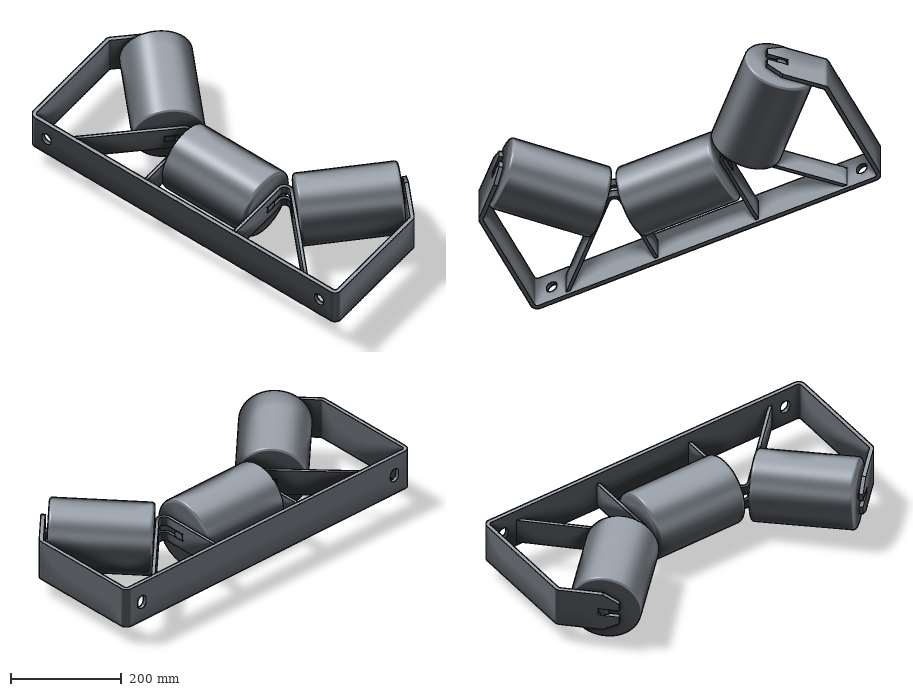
import cadquery as cq
import math


frame_length = 700.0
frame_height = 80.5
frame_thickness = 8.0
frame_bend_radius = 13.0
wing_corner_y = 231.0
wing_length = 115.0
wing_chamfer_along = 30.0
wing_chamfer_across = 17.5
mount_hole_width = 20.0
mount_hole_height = 26.5
mount_hole_inset = 39.0

roller_diameter = 133.0
roller_length = 191.0
roller_edge_fillet = 6.0
shaft_diameter = 20.0
shaft_flat_height = 14.0
shaft_stub_length = 9.0
centre_roller_y = 125.0
trough_angle = 45.0
side_roller_tilt = 2.0
side_roller_x = 213.0
side_roller_y = 215.5
end_gap = 3.0

bracket_height = 50.5
bracket_thickness = 6.0
bracket_bend_radius = 16.0
bracket_face_x = 98.0

slot_width = 15.0
slot_end_clearance = 0.35

half_length = frame_length / 2
half_roller = roller_length / 2
trough = math.radians(trough_angle)
slot_end_offset = shaft_diameter / 2 + slot_end_clearance

support_span = roller_length + 2 * end_gap + (frame_thickness + bracket_thickness) / 2
bracket_level = -support_span * math.sin(math.radians(side_roller_tilt))
side_roller_z = bracket_level / 2


def along_left_axis(distance):
    """Point (x, y) on the left roller axis, measured outwards from the roller centre."""
    return (-side_roller_x - distance * math.cos(trough), side_roller_y + distance * math.sin(trough))


def mirrored_copy(body):
    return body.mirror("YZ")


def make_frame():
    """Strap bent into a base, two side walls and two inward wings with slotted tips."""
    wing_x = -half_length + wing_length * math.sin(trough)
    wing_y = wing_corner_y + wing_length * math.cos(trough)
    inner_x = -half_length + frame_thickness
    inner_corner_y = wing_corner_y - frame_thickness * math.tan(trough / 2)
    tip_inner_x = wing_x + frame_thickness * math.cos(trough)
    tip_inner_y = wing_y - frame_thickness * math.sin(trough)

    left_outer = [(-half_length, 0), (-half_length, wing_corner_y), (wing_x, wing_y)]
    left_inner = [(tip_inner_x, tip_inner_y), (inner_x, inner_corner_y), (inner_x, frame_thickness)]
    left_side = left_outer + left_inner
    right_side = [(-x, y) for x, y in reversed(left_side)]
    frame = (
        cq.Workplane("XY")
        .polyline(left_side + right_side)
        .close()
        .extrude(frame_height / 2, both=True)
    )

    inner_bend_radius = frame_bend_radius - frame_thickness
    outer_corners = [(-half_length, 0), (-half_length, wing_corner_y)]
    inner_corners = [(inner_x, frame_thickness), (inner_x, inner_corner_y)]
    for corners, radius in ((outer_corners, frame_bend_radius), (inner_corners, inner_bend_radius)):
        for x, y in corners:
            for side in (1, -1):
                frame = frame.edges(cq.selectors.NearestToPointSelector((side * x, y, 0))).fillet(radius)

    holes = (
        cq.Workplane("XZ")
        .pushPoints([(-half_length + mount_hole_inset, 0), (half_length - mount_hole_inset, 0)])
        .slot2D(mount_hole_height, mount_hole_width, 90)
        .extrude(-frame_thickness)
    )
    frame = frame.cut(holes)

    tip_plane = cq.Plane(
        origin=(wing_x, wing_y, 0),
        xDir=(math.sin(trough), math.cos(trough), 0),
        normal=(math.cos(trough), -math.sin(trough), 0),
    )
    axis_x, axis_y = along_left_axis(half_roller + end_gap)
    tip_to_axis = (wing_x - axis_x) * math.sin(trough) + (wing_y - axis_y) * math.cos(trough)
    slot_depth = tip_to_axis + slot_end_offset
    tip_cut = (
        cq.Workplane(tip_plane)
        .center(-slot_depth / 2, 0)
        .rect(slot_depth, slot_width)
        .extrude(frame_thickness)
    )
    edge = frame_height / 2
    for side in (1, -1):
        corner = (
            cq.Workplane(tip_plane)
            .polyline([
                (0, side * edge),
                (-wing_chamfer_along, side * edge),
                (0, side * (edge - wing_chamfer_across)),
            ])
            .close()
            .extrude(frame_thickness)
        )
        tip_cut = tip_cut.union(corner)
    return frame.cut(tip_cut).cut(mirrored_copy(tip_cut))


def make_left_bracket():
    """Folded strip standing on the base, slotted across the fold for two shaft ends."""
    leg_x, leg_y = along_left_axis(-half_roller - end_gap)
    slope = 1 / math.tan(trough)
    base_y = frame_thickness
    face_x = -bracket_face_x
    back_x = face_x - bracket_thickness
    lower_leg_x = leg_x + bracket_thickness * math.cos(trough)
    lower_leg_y = leg_y - bracket_thickness * math.sin(trough)

    def upper_face_y(x):
        return leg_y + (x - leg_x) * slope

    def lower_face_y(x):
        return lower_leg_y + (x - lower_leg_x) * slope

    outer_corner = (face_x, upper_face_y(face_x))
    inner_corner = (back_x, lower_face_y(back_x))
    outline = [
        (face_x, base_y),
        outer_corner,
        (leg_x + (base_y - leg_y) / slope, base_y),
        (lower_leg_x + (base_y - lower_leg_y) / slope, base_y),
        inner_corner,
        (back_x, base_y),
    ]
    bracket = (
        cq.Workplane("XY", origin=(0, 0, bracket_level))
        .polyline(outline)
        .close()
        .extrude(bracket_height / 2, both=True)
    )
    inner_bend_radius = bracket_bend_radius - bracket_thickness
    for corner, radius in ((outer_corner, bracket_bend_radius), (inner_corner, inner_bend_radius)):
        nearest = cq.selectors.NearestToPointSelector((*corner, bracket_level))
        bracket = bracket.edges(nearest).fillet(radius)

    slot_floor_y = centre_roller_y - slot_end_offset
    slot_end = (leg_x - slot_end_offset * math.sin(trough), leg_y - slot_end_offset * math.cos(trough))
    slot_end_back = (
        slot_end[0] + bracket_thickness * math.cos(trough),
        slot_end[1] - bracket_thickness * math.sin(trough),
    )
    slot = (
        cq.Workplane("XY", origin=(0, 0, bracket_level))
        .polyline([
            (face_x, slot_floor_y),
            outer_corner,
            slot_end,
            slot_end_back,
            (back_x, slot_floor_y),
        ])
        .close()
        .extrude(slot_width / 2, both=True)
    )
    return bracket.cut(slot)


def make_roller(heading, tilt, centre):
    """Roller with flatted shaft ends; its +X end is lifted by tilt, then turned to heading."""
    barrel = (
        cq.Workplane("YZ", origin=(-half_roller, 0, 0))
        .circle(roller_diameter / 2)
        .extrude(roller_length)
        .edges("%CIRCLE")
        .fillet(roller_edge_fillet)
    )
    shaft_length = roller_length + 2 * shaft_stub_length
    shaft = (
        cq.Workplane("YZ", origin=(-shaft_length / 2, 0, 0))
        .circle(shaft_diameter / 2)
        .extrude(shaft_length)
    )
    flats = cq.Workplane("XY").box(shaft_length, shaft_diameter, shaft_flat_height)
    return (
        barrel.union(shaft.intersect(flats))
        .rotate((0, 0, 0), (0, 1, 0), -tilt)
        .rotate((0, 0, 0), (0, 0, 1), heading)
        .translate(centre)
    )


frame = make_frame()
left_bracket = make_left_bracket()
brackets = [left_bracket, mirrored_copy(left_bracket)]

left_roller = make_roller(180 - trough_angle, side_roller_tilt, (-side_roller_x, side_roller_y, side_roller_z))
centre_roller = make_roller(0, 0, (0, centre_roller_y, bracket_level))
rollers = [left_roller, centre_roller, mirrored_copy(left_roller)]

result = cq.Compound.makeCompound([body.val() for body in [frame, *brackets, *rollers]])